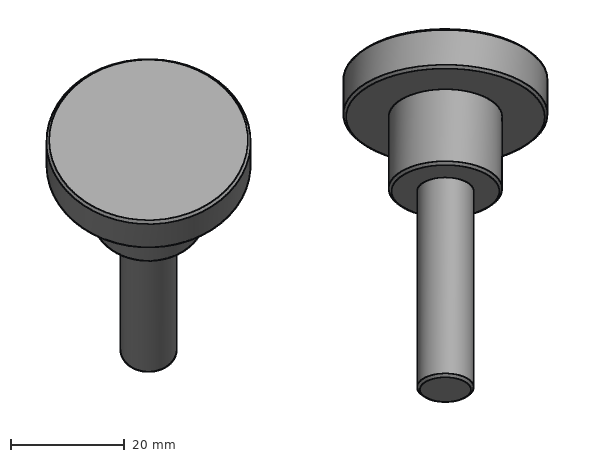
import cadquery as cq

head_diameter = 36.0
head_height = 8.0
hub_diameter = 20.0
hub_height = 15.0
shaft_diameter = 10.0
shaft_length = 40.0
edge_chamfer = 0.5

hub_bottom = 0.0
head_bottom = hub_bottom + hub_height
shaft_bottom = hub_bottom - shaft_length


def cylinder(diameter, bottom, height, chamfered_edges):
    """Upright cylinder on the Z axis with the selected rim edges chamfered."""
    body = cq.Workplane("XY").workplane(offset=bottom).circle(diameter / 2).extrude(height)
    return body.faces(chamfered_edges).edges().chamfer(edge_chamfer)


head = cylinder(head_diameter, head_bottom, head_height, "|Z")

hub = cylinder(hub_diameter, hub_bottom, hub_height, "<Z")
shaft = cylinder(shaft_diameter, shaft_bottom, shaft_length, "<Z")

result = head.union(hub).union(shaft)